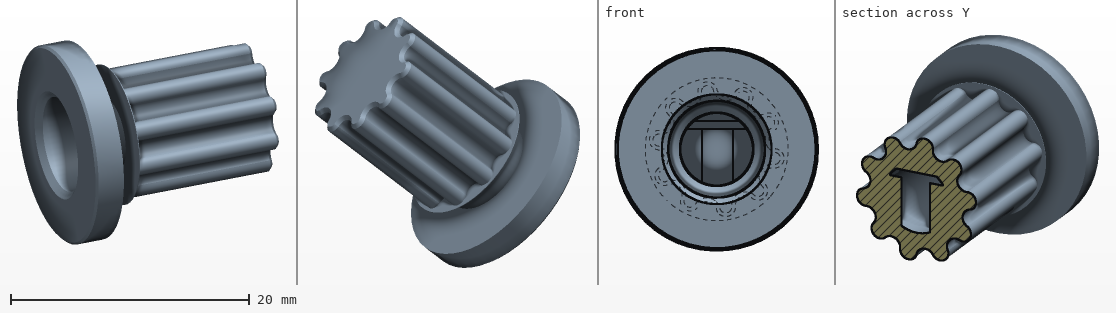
import cadquery as cq
import math

total_length = 18.0
flange_end = 2.5
neck_cone_start = 4.0
collar_start = 5.0
floor_thickness = 1.0

flange_radius = 8.5
flange_chamfer = 0.2
neck_radius = 4.1
neck_small_radius = 3.1
collar_radius = 6.0
collar_thickness = 0.05

neck_wall = 0.05
bore_radius = neck_radius - neck_wall
bore_small_radius = neck_small_radius - neck_wall
mouth_radius = 4.6
mouth_depth = 0.5
floor_position = total_length - floor_thickness

tooth_count = 10
pitch_radius = 5.11
tip_radius = 5.7
root_radius = 4.45
tooth_phase = 99.0
end_chamfer = 0.3

bar_bottom = 1.71
bar_height = 0.67
stem_width = 2.63
stem_offset = 0.07
bar_depth = 0.09
stem_depth = 0.18


def revolve(points):
    """Revolve a closed (radius, Y) outline about the Y axis."""
    return cq.Workplane("XY").polyline(points).close().revolve(360, (0, 0, 0), (0, 1, 0))


def polar(radius, angle):
    """Point in the XZ plane at an angle in degrees from +X towards +Z."""
    return (radius * math.cos(math.radians(angle)), radius * math.sin(math.radians(angle)))


def xz_plane(y):
    """Sketch plane at station y with global X and Z axes; it extrudes towards -Y."""
    return cq.Workplane("XZ", origin=(0, y, 0))


def flange_and_neck():
    return revolve([
        (0, 0),
        (flange_radius - flange_chamfer, 0),
        (flange_radius, flange_chamfer),
        (flange_radius, flange_end),
        (neck_radius, flange_end),
        (neck_radius, neck_cone_start),
        (neck_small_radius, collar_start),
        (collar_radius, collar_start),
        (collar_radius, collar_start + collar_thickness),
        (0, collar_start + collar_thickness),
    ])


def fluted_body():
    pitch = 360.0 / tooth_count
    outline = xz_plane(total_length).moveTo(*polar(pitch_radius, tooth_phase - pitch / 4))
    for index in range(tooth_count):
        center = tooth_phase + index * pitch
        outline = outline.threePointArc(
            polar(tip_radius, center), polar(pitch_radius, center + pitch / 4)
        )
        outline = outline.threePointArc(
            polar(root_radius, center + pitch / 2), polar(pitch_radius, center + 3 * pitch / 4)
        )
    teeth = outline.close().extrude(total_length - collar_start)
    return teeth.faces(">Y").edges().chamfer(end_chamfer)


def bore():
    return revolve([
        (0, 0),
        (mouth_radius, 0),
        (bore_radius, mouth_depth),
        (bore_radius, neck_cone_start),
        (bore_small_radius, collar_start),
        (bore_small_radius, floor_position),
        (0, floor_position),
    ])


def floor_steps():
    stem_length = bore_small_radius + bar_bottom
    bar = (
        xz_plane(floor_position + bar_depth)
        .center(0, bar_bottom + bar_height / 2)
        .rect(2 * bore_small_radius, bar_height)
        .extrude(bar_depth)
    )
    stem = (
        xz_plane(floor_position + stem_depth)
        .center(stem_offset, bar_bottom - stem_length / 2)
        .rect(stem_width, stem_length)
        .extrude(stem_depth)
    )
    floor_disc = xz_plane(floor_position + stem_depth).circle(bore_small_radius).extrude(stem_depth)
    return bar.union(stem).intersect(floor_disc)


result = flange_and_neck().union(fluted_body()).cut(bore()).cut(floor_steps())